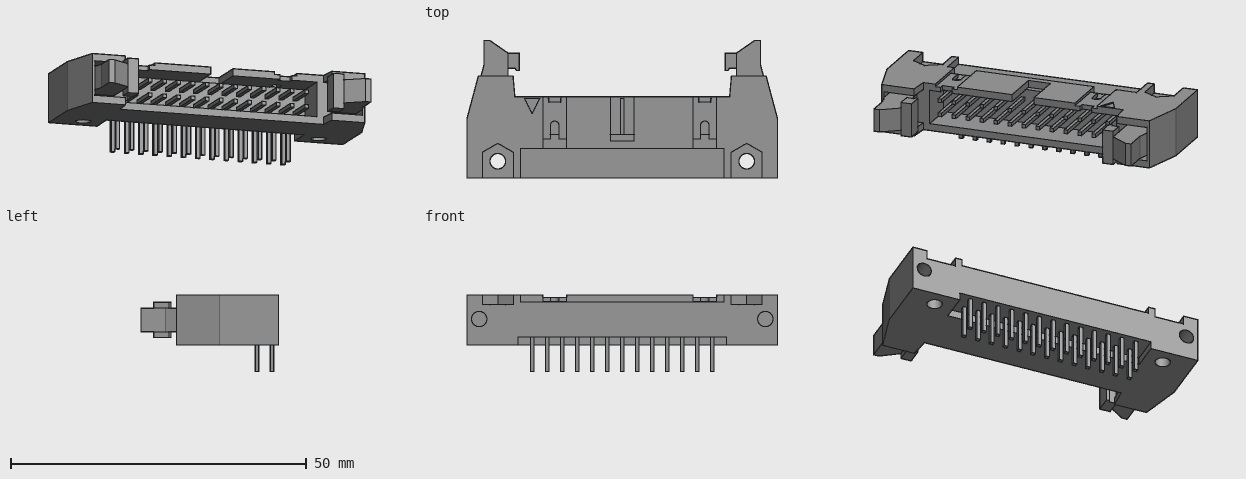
import cadquery as cq
import math

BODY_HALF_X = 26.3
BODY_HEIGHT = 8.5
FLANK_Y = 10.0
EAR_Y = 17.3
EAR_OUTER_X = 24.35
EAR_INNER_X = 18.45
MOUTH_Y = 13.8
MOUTH_HALF_X = 18.15
MID_Z = BODY_HEIGHT / 2

WALL = 1.25
CAVITY_BACK_Y = 7.4
CAVITY_HALF_X = 17.0
CEILING_Z = BODY_HEIGHT - WALL

PITCH = 2.54
PIN_COUNT = 13
ROW_COUNT = 2
PIN_SIZE = 0.64
PIN_TAIL_LENGTH = 4.5
PIN_FRONT_ROW_Y = 1.12
RIM_GAP = 0.3
PIN_TIP_Y = MOUTH_Y - RIM_GAP
PIN_EMBED = 1.0

TAIL_RECESS_HALF_X = 17.65
TAIL_RECESS_LENGTH = 5.05
TAIL_RECESS_HEIGHT = 1.4

LEDGE_HALF_X = 17.2
LEDGE_Y = 5.05

KEY_WIDTH = 4.0
KEY_BACK_Y = 6.3

RECESS_XS = [-4.5 * PITCH, 5.5 * PITCH]
RECESS_WIDTH = 4.0
RECESS_DEPTH = 0.45
STEP_Y = 6.65
STEP_DEPTH = 1.1
SLOT_WIDTH = 1.46
SLOT_TIP_Y = 9.65
NOTCH_WIDTH = 2.1
NOTCH_LENGTH = 0.95

HOLE_DIAMETER = 2.6
MOUNT_X = 21.05
MOUNT_Y = 2.85
NUT_FLATS = 5.26
NUT_DEPTH = 1.65
SIDE_HOLE_X = 24.2
SIDE_HOLE_Z = 4.4
SIDE_HOLE_DEPTH = 5.0

MARK_X = -15.25
MARK_WIDTH = 2.6
MARK_LENGTH = 2.6
MARK_Y = MOUTH_Y - RIM_GAP
MARK_DEPTH = 0.2

LATCH_THICKNESS = 4.0
LATCH_INNER_X = 19.3
LATCH_OUTER_X = 23.4
LATCH_ROOT_X = 23.9
LATCH_BEND_Y = 19.15
LATCH_TIP_Y = 23.3
LATCH_TIP_X = 22.4
HOOK_X = 17.4
HOOK_TOP_Y = 21.15
HOOK_BOTTOM_Y = 18.55
HOOK_LIP_Y = 18.2
HOOK_LIP_WIDTH = 0.5
HOOK_LIP_SLOPE = 0.2
HOOK_HEIGHT = 6.0


def block(x0, x1, y0, y1, z0, z1):
    """Box between two opposite corners."""
    return cq.Workplane("XY").box(x1 - x0, y1 - y0, z1 - z0, centered=False).translate((x0, y0, z0))


def centred_block(x, width, y0, y1, z0, z1):
    """Box whose X extent is centred on x."""
    return block(x - width / 2, x + width / 2, y0, y1, z0, z1)


def prism(points, z0, z1):
    """Straight extrusion of an XY outline between two heights."""
    return cq.Workplane("XY").workplane(offset=z0).polyline(points).close().extrude(z1 - z0)


def both_sides(shape):
    """The +X shape together with its mirror image on the -X side."""
    return shape.union(shape.mirror("YZ"))


def housing_blank():
    right_half = [
        (BODY_HALF_X, 0),
        (BODY_HALF_X, FLANK_Y),
        (EAR_OUTER_X, EAR_Y),
        (EAR_INNER_X, EAR_Y),
        (MOUTH_HALF_X, MOUTH_Y),
    ]
    left_half = [(-x, y) for x, y in reversed(right_half)]
    return prism(right_half + left_half, 0, BODY_HEIGHT)


def plug_cavity():
    return block(-CAVITY_HALF_X, CAVITY_HALF_X, CAVITY_BACK_Y, MOUTH_Y, WALL, CEILING_Z)


def latch_slots():
    """Slots in the ears, open towards +Y and towards the plug."""
    slot = block(MOUTH_HALF_X - WALL, LATCH_ROOT_X, MOUTH_Y, EAR_Y, WALL, CEILING_Z)
    return both_sides(slot)


def rear_ledge():
    return block(-LEDGE_HALF_X, LEDGE_HALF_X, 0, LEDGE_Y, CEILING_Z, BODY_HEIGHT)


def tail_recess():
    return block(-TAIL_RECESS_HALF_X, TAIL_RECESS_HALF_X, 0, TAIL_RECESS_LENGTH, 0, TAIL_RECESS_HEIGHT)


def key_slot():
    return centred_block(0, KEY_WIDTH, KEY_BACK_Y, MOUTH_Y, CEILING_Z, BODY_HEIGHT)


def top_recess(x):
    """Shallow recess, its lower rear step, the round-ended slot and the rim notch."""
    step_z = BODY_HEIGHT - STEP_DEPTH
    floor_z = BODY_HEIGHT - RECESS_DEPTH
    slot_centre_y = SLOT_TIP_Y - SLOT_WIDTH / 2
    pocket = centred_block(x, RECESS_WIDTH, LEDGE_Y, MOUTH_Y, floor_z, BODY_HEIGHT)
    step = centred_block(x, RECESS_WIDTH, LEDGE_Y, STEP_Y, step_z, BODY_HEIGHT)
    slot_rear = centred_block(x, SLOT_WIDTH, STEP_Y, CAVITY_BACK_Y, step_z, BODY_HEIGHT)
    slot = centred_block(x, SLOT_WIDTH, CAVITY_BACK_Y, slot_centre_y, CEILING_Z, BODY_HEIGHT)
    slot_end = (
        cq.Workplane("XY", origin=(x, slot_centre_y, CEILING_Z))
        .circle(SLOT_WIDTH / 2)
        .extrude(WALL)
    )
    notch = centred_block(x, NOTCH_WIDTH, MOUTH_Y - NOTCH_LENGTH, MOUTH_Y, CEILING_Z, BODY_HEIGHT)
    return pocket.union(step).union(slot_rear).union(slot).union(slot_end).union(notch)


def mounting_holes():
    """Through holes, each below a pocket shaped like half a hexagon nut."""
    half = NUT_FLATS / 2
    hexagon_half_angle = math.radians(30)
    shoulder_y = MOUNT_Y + half * math.tan(hexagon_half_angle)
    tip_y = MOUNT_Y + half / math.cos(hexagon_half_angle)
    outline = [
        (MOUNT_X - half, 0),
        (MOUNT_X + half, 0),
        (MOUNT_X + half, shoulder_y),
        (MOUNT_X, tip_y),
        (MOUNT_X - half, shoulder_y),
    ]
    pocket = prism(outline, BODY_HEIGHT - NUT_DEPTH, BODY_HEIGHT)
    hole = (
        cq.Workplane("XY", origin=(MOUNT_X, MOUNT_Y, 0))
        .circle(HOLE_DIAMETER / 2)
        .extrude(BODY_HEIGHT)
    )
    return both_sides(pocket.union(hole))


def side_holes():
    """Blind holes entering the rear face."""
    hole = (
        cq.Workplane("XZ", origin=(SIDE_HOLE_X, 0, SIDE_HOLE_Z))
        .circle(HOLE_DIAMETER / 2)
        .extrude(-SIDE_HOLE_DEPTH)
    )
    return both_sides(hole)


def pin_one_mark():
    outline = [
        (MARK_X - MARK_WIDTH / 2, MARK_Y),
        (MARK_X + MARK_WIDTH / 2, MARK_Y),
        (MARK_X, MARK_Y - MARK_LENGTH),
    ]
    return prism(outline, BODY_HEIGHT - MARK_DEPTH, BODY_HEIGHT)


def latches():
    """Lever arms standing on the slot floors, with a taller hook facing the plug."""
    arm_outline = [
        (LATCH_INNER_X, MOUTH_Y),
        (LATCH_ROOT_X, MOUTH_Y),
        (LATCH_ROOT_X, EAR_Y),
        (LATCH_OUTER_X, LATCH_BEND_Y),
        (LATCH_OUTER_X, LATCH_TIP_Y),
        (LATCH_TIP_X, LATCH_TIP_Y),
        (LATCH_INNER_X, HOOK_TOP_Y),
    ]
    hook_outline = [
        (LATCH_INNER_X, HOOK_TOP_Y),
        (HOOK_X, HOOK_TOP_Y),
        (HOOK_X, HOOK_LIP_Y),
        (HOOK_X + HOOK_LIP_WIDTH, HOOK_LIP_Y),
        (HOOK_X + HOOK_LIP_WIDTH + HOOK_LIP_SLOPE, HOOK_BOTTOM_Y),
        (LATCH_INNER_X, HOOK_BOTTOM_Y),
    ]
    arm = prism(arm_outline, MID_Z - LATCH_THICKNESS / 2, MID_Z + LATCH_THICKNESS / 2)
    hook = prism(hook_outline, MID_Z - HOOK_HEIGHT / 2, MID_Z + HOOK_HEIGHT / 2)
    return both_sides(arm.union(hook))


def contact_tails():
    """Two rows of square tails below the body, rooted above the tail recess."""
    row_middle_y = PIN_FRONT_ROW_Y + (ROW_COUNT - 1) * PITCH / 2
    return (
        cq.Workplane("XY", origin=(0, row_middle_y, -PIN_TAIL_LENGTH))
        .rarray(PITCH, PITCH, PIN_COUNT, ROW_COUNT)
        .rect(PIN_SIZE, PIN_SIZE)
        .extrude(PIN_TAIL_LENGTH + TAIL_RECESS_HEIGHT + PIN_EMBED)
    )


def contact_blades():
    """Two rows of square blades in the cavity, rooted in its back wall."""
    root_y = CAVITY_BACK_Y - PIN_EMBED
    return (
        cq.Workplane("XZ", origin=(0, root_y, MID_Z))
        .rarray(PITCH, PITCH, PIN_COUNT, ROW_COUNT)
        .rect(PIN_SIZE, PIN_SIZE)
        .extrude(root_y - PIN_TIP_Y)
    )


housing = (
    housing_blank()
    .cut(plug_cavity())
    .cut(latch_slots())
    .cut(rear_ledge())
    .cut(tail_recess())
    .cut(key_slot())
    .cut(mounting_holes())
    .cut(side_holes())
    .cut(pin_one_mark())
)
for recess_x in RECESS_XS:
    housing = housing.cut(top_recess(recess_x))

result = housing.union(latches()).union(contact_tails()).union(contact_blades())